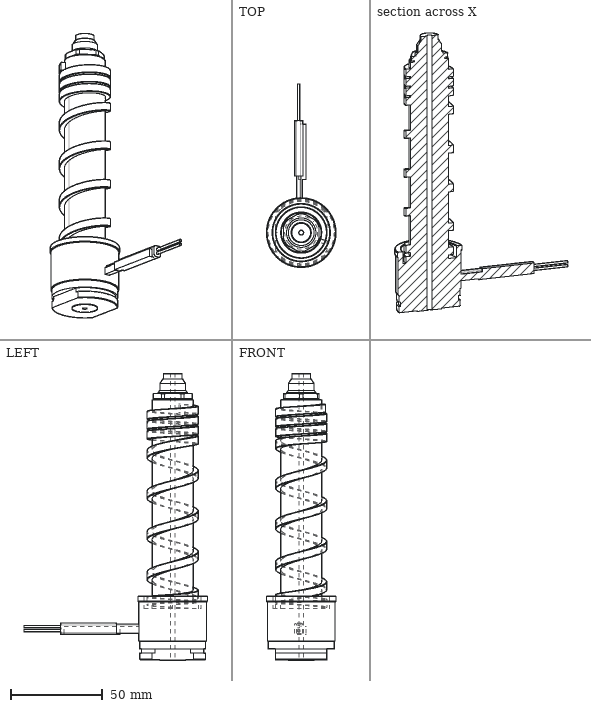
import cadquery as cq
import math

boss_diameter = 14.0
boss_height = 0.4
cap_diameter = 36.0
cap_chamfer = 0.4
cap_groove_diameter = 34.0
cap_groove_bottom = 4.1
cap_groove_top = 6.4
cap_flat_width = 28.0
body_bottom = 10.4
body_diameter = 37.0
flange_diameter = 38.0
flange_bottom = 32.0
flange_top = 35.2
housing_chamfer = 0.4
recess_diameter = 31.0
recess_chamfer = 0.4

tube_diameter = 22.4
tube_top = 142.2
tube_chamfer = 0.4
hex_bottom = 142.7
hex_top = 145.5
hex_neck_diameter = 18.0
hex_across_flats = 19.4
hex_corner_diameter = 21.4
hex_chamfer_height = 0.3
hex_chamfer_width = 0.6
nozzle_flare_bottom_diameter = 16.0
nozzle_flare_height = 0.4
nozzle_barrel_bottom = 147.2
nozzle_diameter = 14.0
nozzle_shoulder = 150.9
nozzle_ledge_diameter = 11.0
nozzle_ledge = 153.3
tip_diameter = 10.2
overall_height = 156.2
bore_diameter = 2.5

coil_outer_diameter = 28.0
coil_wire_height = 4.6
coil_wire_chamfer = 0.3
coil_embed = 0.8
closed_pitch = 5.4
open_pitch = 22.07
lower_ramp_turns = 0.5
upper_ramp_turns = 0.4
lower_closed_turns = 1.0
open_turns = 3.35
upper_closed_turns = 3.2
open_coil_start_height = 40.7
points_per_turn = 24

cable_x = -1.4
cable_z = 17.4
cable_length_from_axis = 81.0
lead_diameter = 1.4
lead_spacing = 2.2
sleeve_width = 4.5
sleeve_height = 6.3
sleeve_fillet = 1.2
sleeve_start = 30.7
sleeve_length = 30.3
cord_width = 2.6
cord_height = 5.3
cord_fillet = 0.6
cord_start = 15.0
second_cord_right = 0.8
second_sleeve_right = 2.7
second_sleeve_shift_y = -1.9
second_line_top = 18.7

coil_start_turn = -lower_ramp_turns - lower_closed_turns
coil_end_turn = open_turns + upper_ramp_turns + upper_closed_turns


def closing_rise(turns, ramp_turns):
    """Rise of the wire over the turns after the open ones, as the pitch closes up."""
    ramp = min(turns, ramp_turns)
    pitch_drop = (open_pitch - closed_pitch) * ramp / ramp_turns
    return (open_pitch - pitch_drop / 2) * ramp + closed_pitch * (turns - ramp)


def coil_height(turn):
    """Height of the wire centre; turn 0 is where the open turns begin."""
    if turn < 0:
        return open_coil_start_height - closing_rise(-turn, lower_ramp_turns)
    if turn < open_turns:
        return open_coil_start_height + open_pitch * turn
    open_coil_end_height = open_coil_start_height + open_pitch * open_turns
    return open_coil_end_height + closing_rise(turn - open_turns, upper_ramp_turns)


recess_floor = coil_height(coil_start_turn)


def revolve_profile(points):
    """Solid of revolution about Z from (radius, height) points."""
    return cq.Workplane("XZ").polyline(points).close().revolve(360, (0, 0, 0), (0, 1, 0))


def disc(diameter, bottom, top):
    """Cylinder about Z between two heights."""
    return cq.Workplane("XY").workplane(offset=bottom).circle(diameter / 2).extrude(top - bottom)


def make_cap():
    cap = disc(cap_diameter, boss_height, body_bottom).faces("<Z").chamfer(cap_chamfer)
    groove = disc(cap_diameter, cap_groove_bottom, cap_groove_top)
    cap = cap.cut(groove.cut(disc(cap_groove_diameter, cap_groove_bottom, cap_groove_top)))
    flat_stock = cq.Workplane("XY").rect(cap_flat_width, cap_diameter).extrude(cap_groove_top)
    flatted = cap.intersect(flat_stock)
    upper = cap.intersect(disc(cap_diameter, cap_groove_top, body_bottom))
    return flatted.union(upper).union(disc(boss_diameter, 0, boss_height))


def make_housing():
    body = disc(body_diameter, body_bottom, flange_bottom).faces("<Z").chamfer(housing_chamfer)
    flange = disc(flange_diameter, flange_bottom, flange_top).faces("<Z or >Z").chamfer(housing_chamfer)
    recess = disc(recess_diameter, recess_floor, flange_top)
    housing = make_cap().union(body).union(flange).cut(recess)
    rim = housing.faces(">Z").edges(cq.selectors.RadiusNthSelector(0))
    return rim.chamfer(recess_chamfer)


def make_tube():
    return disc(tube_diameter, body_bottom, tube_top).faces(">Z").chamfer(tube_chamfer)


def make_hex():
    half_side_angle = 30
    corner_circle = hex_across_flats / math.cos(math.radians(half_side_angle))
    hexagon = (
        cq.Workplane("XY").workplane(offset=hex_bottom)
        .polygon(6, corner_circle).extrude(hex_top - hex_bottom)
        .rotate((0, 0, 0), (0, 0, 1), half_side_angle)
    )
    envelope = disc(hex_corner_diameter, hex_bottom, hex_top)
    envelope = envelope.faces(">Z").chamfer(hex_chamfer_height, hex_chamfer_width)
    rounded = hexagon.intersect(envelope)
    return rounded.union(disc(hex_neck_diameter, tube_top, hex_bottom))


def make_nozzle():
    flare_radius = nozzle_flare_bottom_diameter / 2
    return revolve_profile([
        (0, hex_top),
        (flare_radius, hex_top),
        (flare_radius, hex_top + nozzle_flare_height),
        (nozzle_diameter / 2, nozzle_barrel_bottom),
        (nozzle_diameter / 2, nozzle_shoulder),
        (nozzle_ledge_diameter / 2, nozzle_ledge),
        (tip_diameter / 2, nozzle_ledge),
        (tip_diameter / 2, overall_height),
        (0, overall_height),
    ])


def coil_edge(radius, height_offset):
    """One long corner edge of the coil wire."""
    count = round((coil_end_turn - coil_start_turn) * points_per_turn)
    step = (coil_end_turn - coil_start_turn) / count
    points = []
    for i in range(count + 1):
        turn = coil_start_turn + i * step
        angle = 2 * math.pi * turn
        height = coil_height(turn) + height_offset
        points.append(cq.Vector(radius * math.cos(angle), radius * math.sin(angle), height))
    return cq.Edge.makeSpline(points)


def make_coil():
    outer = coil_outer_diameter / 2
    inner = tube_diameter / 2 - coil_embed
    half = coil_wire_height / 2
    corners = [
        (inner, -half),
        (outer - coil_wire_chamfer, -half),
        (outer, coil_wire_chamfer - half),
        (outer, half - coil_wire_chamfer),
        (outer - coil_wire_chamfer, half),
        (inner, half),
    ]
    edges = [coil_edge(radius, offset) for radius, offset in corners]
    faces = [cq.Face.makeRuledSurface(edges[i - 1], edges[i]) for i in range(len(edges))]
    for end in (0, 1):
        ends = [edge.positionAt(end) for edge in edges]
        faces.append(cq.Face.makeFromWires(cq.Wire.makePolygon(ends, close=True)))
    return cq.Workplane(cq.Solid.makeSolid(cq.Shell.makeShell(faces)))


def rounded_bar(width, height, fillet, start, length):
    """Bar along +Y, centred on the cable line, with rounded long edges."""
    bar = cq.Workplane("XY").box(width, length, height).edges("|Y").fillet(fillet)
    return bar.translate((cable_x, start + length / 2, cable_z))


def plain_bar(right, height, start, length):
    """Square-edged bar along +Y from the cable line to the given X, below the shared top."""
    bottom = cable_z - height / 2
    return (
        cq.Workplane("XY")
        .box(right - cable_x, length, second_line_top - bottom, centered=False)
        .translate((cable_x, start, bottom))
    )


def make_cable():
    cord_length = sleeve_start - cord_start
    cord = rounded_bar(cord_width, cord_height, cord_fillet, cord_start, cord_length)
    second_cord = plain_bar(second_cord_right, cord_height, cord_start, cord_length)
    sleeve = rounded_bar(sleeve_width, sleeve_height, sleeve_fillet, sleeve_start, sleeve_length)
    second_sleeve_start = sleeve_start + second_sleeve_shift_y
    second_sleeve = plain_bar(second_sleeve_right, sleeve_height, second_sleeve_start, sleeve_length)
    cable = cord.union(second_cord).union(sleeve).union(second_sleeve)
    for side in (-1, 1):
        lead = (
            cq.Workplane("XZ", origin=(cable_x, sleeve_start, cable_z + side * lead_spacing / 2))
            .circle(lead_diameter / 2).extrude(sleeve_start - cable_length_from_axis)
        )
        cable = cable.union(lead)
    return cable


heated_tube = make_tube().union(make_coil())
fittings = make_housing().union(make_cable()).union(make_hex()).union(make_nozzle())
bore = disc(bore_diameter, 0, overall_height)
result = heated_tube.union(fittings).cut(bore)